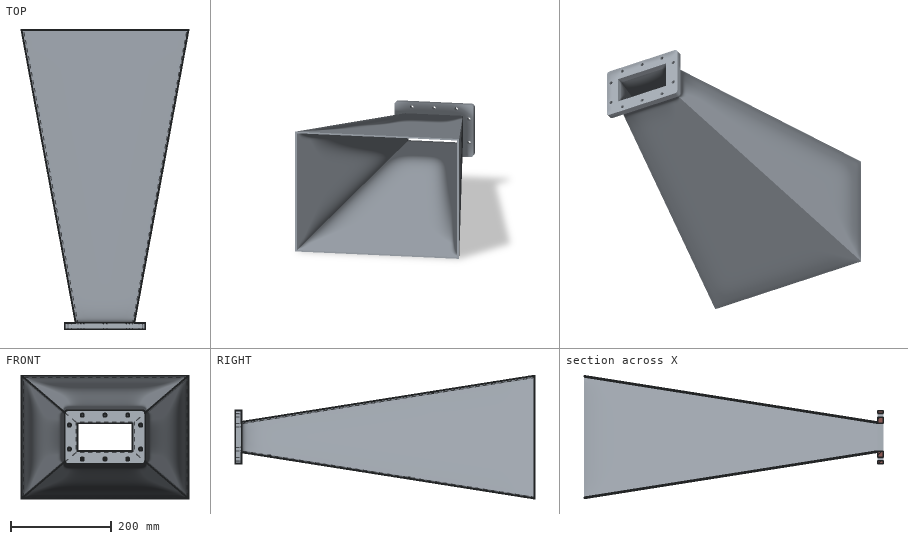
import cadquery as cq

overall_length = 596.39
aperture_width = 332.99
aperture_height = 245.11

bore_width = 109.22
bore_height = 54.61
plate_thickness = 3.2
side_thickness = 3.94

flange_width = 161.04
flange_height = 106.43
flange_thickness = 12.7
flange_corner_radius = 6.35
socket_depth = 5.6

bolt_hole_diameter = 6.76
row_hole_pitch = 45.2
row_hole_z = 43.7
side_hole_x = 71.0
side_hole_z = 23.9

horn_length = overall_length - flange_thickness
throat_outer_width = bore_width + 2 * side_thickness
throat_outer_height = bore_height + 2 * plate_thickness
aperture_inner_width = aperture_width - 2 * side_thickness
aperture_inner_height = aperture_height - 2 * plate_thickness


def section_plane(y):
    """Cross-section plane at distance y, with local X along +X and local Y along +Z."""
    return cq.Workplane(cq.Plane(origin=(0, y, 0), xDir=(1, 0, 0), normal=(0, -1, 0)))


def straight_block(width, height, y_start, length):
    return section_plane(y_start).rect(width, height).extrude(-length)


def horn_block(throat_size, aperture_size):
    """Solid throat seated in the flange, followed by the flare out to the aperture."""
    throat = straight_block(*throat_size, flange_thickness - socket_depth, socket_depth)
    flare = (
        section_plane(flange_thickness)
        .rect(*throat_size)
        .workplane(offset=-horn_length)
        .rect(*aperture_size)
        .loft(ruled=True)
    )
    return throat.union(flare)


def make_horn():
    """Top and bottom plates span the full width; the side plates fit between them."""
    envelope = horn_block(
        (throat_outer_width, throat_outer_height), (aperture_width, aperture_height)
    )
    between_plates = horn_block(
        (throat_outer_width, bore_height), (aperture_width, aperture_inner_height)
    )
    cavity = horn_block(
        (bore_width, bore_height), (aperture_inner_width, aperture_inner_height)
    )
    top_and_bottom = envelope.cut(between_plates)
    sides = between_plates.cut(cavity)
    return top_and_bottom.union(sides, clean=False)


def bolt_hole_positions():
    positions = []
    for side in (-1, 1):
        for column in (-1, 0, 1):
            positions.append((column * row_hole_pitch, side * row_hole_z))
        for row in (-1, 1):
            positions.append((side * side_hole_x, row * side_hole_z))
    return positions


def make_flange():
    plate = straight_block(flange_width, flange_height, 0, flange_thickness)
    plate = plate.edges("|Y").fillet(flange_corner_radius)
    bore = straight_block(bore_width, bore_height, 0, flange_thickness)
    socket = straight_block(
        throat_outer_width, throat_outer_height, flange_thickness - socket_depth, socket_depth
    )
    bolt_holes = (
        section_plane(0)
        .pushPoints(bolt_hole_positions())
        .circle(bolt_hole_diameter / 2)
        .extrude(-flange_thickness)
    )
    return plate.cut(bore).cut(socket).cut(bolt_holes)


result = make_flange().union(make_horn(), clean=False)